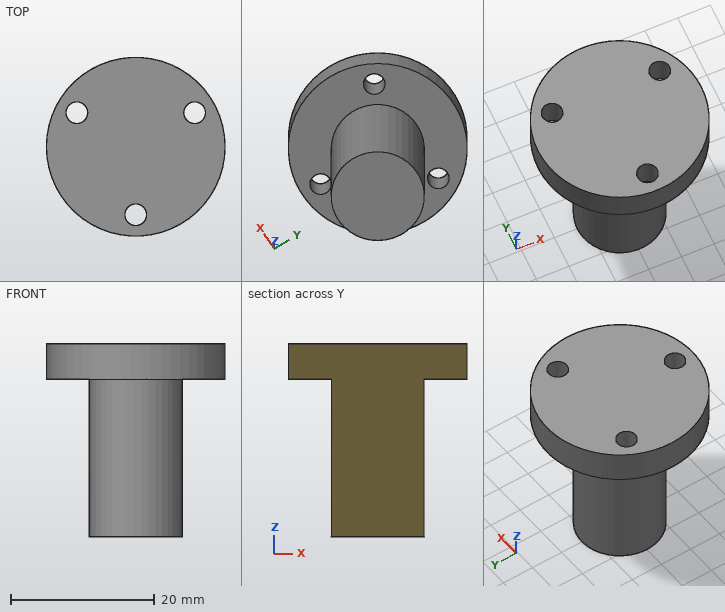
import cadquery as cq
import math

total_height = 27.0
flange_diameter = 25.0
flange_thickness = 5.0
shaft_diameter = 13.01
hole_diameter = 3.0
hole_circle_radius = 9.5
hole_count = 3
first_hole_angle = 30.0

flange_sides = 54
shaft_sides = 39
hole_sides = 37

shaft_length = total_height - flange_thickness


def shaft_outline():
    """Regular corners starting on +X, plus one more corner on -X that splits the flat there."""
    radius = shaft_diameter / 2
    angles = [math.tau * corner / shaft_sides for corner in range(shaft_sides)]
    angles = sorted(angles + [math.pi])
    return [(radius * math.cos(angle), radius * math.sin(angle)) for angle in angles]


shaft = cq.Workplane("XY").polyline(shaft_outline()).close().extrude(shaft_length)

flange = (
    cq.Workplane("XY", origin=(0, 0, shaft_length))
    .polygon(flange_sides, flange_diameter)
    .extrude(flange_thickness)
)

holes = (
    cq.Workplane("XY", origin=(0, 0, shaft_length))
    .polarArray(hole_circle_radius, first_hole_angle, 360, hole_count, rotate=False)
    .polygon(hole_sides, hole_diameter)
    .extrude(flange_thickness)
)

result = shaft.union(flange.cut(holes))